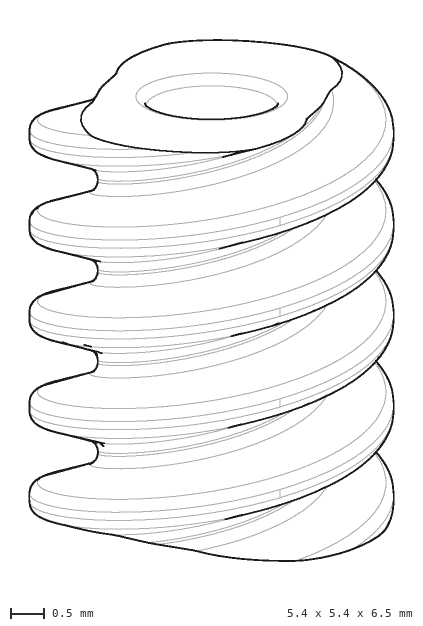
import cadquery as cq
import math


module = 0.45
starts = 2
pressure_angle = math.radians(20)
pitch_radius = 2.25
worm_length = 6.5
bore_diameter = 1.95
bore_edge_round = 0.15

addendum = module
dedendum = 1.25 * module
tip_round = 0.4 * module
root_round = 0.4 * module
axial_pitch = math.pi * module
lead = starts * axial_pitch
tip_radius = pitch_radius + addendum
root_radius = pitch_radius - dedendum
half_gap_at_pitch = axial_pitch / 4

cut_tolerance = 1e-4

cutter_clearance = 0.3
cutter_turns = 2 * math.ceil((worm_length / 2 + axial_pitch) / lead)
cutter_length = cutter_turns * lead

round_turn = math.pi / 2 - pressure_angle
round_setback = math.tan(round_turn / 2)


def gap_half_width(radius):
    """Half the axial width between the straight flanks of a groove at a given radius."""
    return half_gap_at_pitch + (radius - pitch_radius) * math.tan(pressure_angle)


tip_round_offset = gap_half_width(tip_radius) + tip_round * round_setback
root_round_offset = gap_half_width(root_radius) - root_round * round_setback


def tip_point(turn):
    """Radius and axial offset on the tip round, turned from the crest towards the flank."""
    radius = tip_radius - tip_round * (1 - math.cos(turn))
    return radius, tip_round_offset - tip_round * math.sin(turn)


def root_point(turn):
    """Radius and axial offset on the root round, turned from the root towards the flank."""
    radius = root_radius + root_round * (1 - math.cos(turn))
    return radius, root_round_offset + root_round * math.sin(turn)


def mirrored(point):
    """The same profile point on the lower side of the groove centre."""
    radius, axial_offset = point
    return radius, -axial_offset


def make_blank():
    """Tip cylinder with the through bore, both bore edges rounded."""
    blank = cq.Workplane("XY").cylinder(worm_length, tip_radius)
    blank = blank.faces(">Z").workplane().hole(bore_diameter)
    bore_edges = cq.selectors.RadiusNthSelector(0)
    return blank.faces("<Z or >Z").edges(bore_edges).fillet(bore_edge_round)


def make_groove_cutter():
    """Axial groove profile swept along a helix; its centre crosses +X at mid-length."""
    outer_radius = tip_radius + cutter_clearance
    profile = (
        cq.Workplane("XZ")
        .moveTo(outer_radius, -tip_round_offset)
        .lineTo(*mirrored(tip_point(0)))
        .threePointArc(mirrored(tip_point(round_turn / 2)), mirrored(tip_point(round_turn)))
        .lineTo(*mirrored(root_point(round_turn)))
        .threePointArc(mirrored(root_point(round_turn / 2)), mirrored(root_point(0)))
        .lineTo(*root_point(0))
        .threePointArc(root_point(round_turn / 2), root_point(round_turn))
        .lineTo(*tip_point(round_turn))
        .threePointArc(tip_point(round_turn / 2), tip_point(0))
        .lineTo(outer_radius, tip_round_offset)
        .close()
    )
    helix = cq.Workplane(cq.Wire.makeHelix(lead, cutter_length, pitch_radius))
    return profile.sweep(helix, isFrenet=True).translate((0, 0, -cutter_length / 2))


def make_worm():
    """Cut one helical groove per start, evenly spaced round the axis."""
    worm = make_blank()
    groove_cutter = make_groove_cutter()
    for start in range(starts):
        start_angle = start * 360 / starts
        worm = worm.cut(groove_cutter.rotate((0, 0, 0), (0, 0, 1), start_angle), tol=cut_tolerance)
    return worm.solids()


result = make_worm()